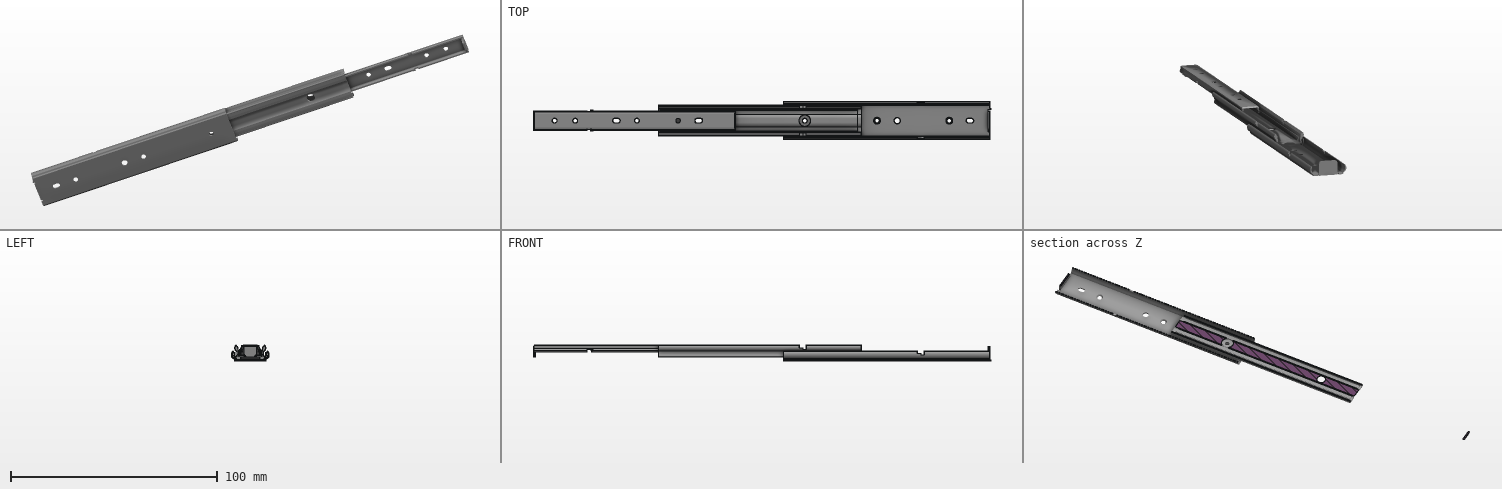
import cadquery as cq

inner_start = 0
inner_end = 97.7
middle_start = 60.4
middle_end = 158.5
outer_start = 120.7
outer_end = 220.7

sheet = 0.7
cage_sheet = 0.33

slide_height = 7.7
middle_bottom = 2.0
middle_floor = middle_bottom + sheet
outer_floor = sheet

inner_top = slide_height
inner_bottom = 4.5
inner_flat = 3.3
inner_waist = 4.2
inner_half_width = 4.6

outer_half_width = 18.4 / 2
outer_wall_middle = 3.0

ridge_height = 1.0
ridge_step = 0.13
ridge_flat = 0.9
ridge_shoulder = 2.0
ridge_shoulder_height = 0.82
ridge_bend = 3.0
ridge_foot = 4.5

inner_cage_start = middle_start + 0.9
inner_cage_end = middle_end - 2.0
inner_cage_top = 5.0
outer_cage_start = outer_start + 0.7
outer_cage_end = middle_end - 0.7
outer_cage_top = 4.2

hole_pitch = 10.0
hole_diameter = 2.2
slot_length = 3.5
first_hole = 10.2
inner_hole_steps = [0, 1, 4, 6]
inner_slot_steps = [3, 7]
clearance_diameter = 4.0
access_x = first_hole + inner_slot_steps[-1] * hole_pitch

pad_x = 131.1
pad_diameter = 5.5

countersink_places = [166.0, 201.0]
countersink_diameter = 3.3
plain_hole_x = 175.8
plain_hole_diameter = 2.9
outer_slot_x = 211.0

notch_length = 3.3
lug_share = 0.55
lug_height = 0.7
middle_notch_x = 128.5
middle_notch_bottom = 5.7
outer_notch_x = 185.5
outer_notch_bottom = 3.0
inner_notch_x = 25.9
inner_notch_length = 2.2
inner_notch_top = 5.7
inner_lug_length = 1.0
inner_lug_reach = 5.0
inner_lug_thickness = 0.5

tab_thickness = 0.9
inner_tab_half_width = 3.0
inner_tab_corner = 1.0
inner_end_bevel = 0.55
outer_tab_half_width = 4.6
outer_tab_top = 7.0
outer_tab_corner = 1.3
relief_width = 0.7
relief_depth = 0.9
ear_reach = 0.5
ear_width = 0.7

margin = 2.2
reach_y = outer_half_width + margin
above = slide_height + margin
beyond_end = outer_end + margin


def section_start(x):
    return cq.Workplane("YZ", origin=(x, 0, 0))


def mirrored_bar(half_outline, length):
    """Extrude a half section, together with its mirror image, along X."""
    return half_outline.mirrorY().extrude(length)


def box(x_range, y_range, z_range):
    lengths = [limits[1] - limits[0] for limits in (x_range, y_range, z_range)]
    corner = (x_range[0], y_range[0], z_range[0])
    return cq.Workplane("XY", origin=corner).box(*lengths, centered=False)


def post(x, diameter, bottom=-margin, top=above):
    """Vertical cylinder on the slide's centre line."""
    return cq.Workplane("XY", origin=(x, 0, bottom)).circle(diameter / 2).extrude(top - bottom)


def slot_post(x):
    outline = cq.Workplane("XY", origin=(x, 0, -margin)).slot2D(slot_length, hole_diameter)
    return outline.extrude(above + margin)


def ridge_out(outline, foot):
    """Follow the ridge from the centre line out to its foot, whose height is given."""
    top = foot + ridge_height
    return (
        outline.moveTo(0, top)
        .lineTo(ridge_flat, top)
        .threePointArc((ridge_shoulder, foot + ridge_shoulder_height), (ridge_bend, foot + ridge_step))
        .lineTo(ridge_foot, foot)
    )


def ridge_back(outline, foot):
    """Follow the ridge from its foot back to the centre line."""
    top = foot + ridge_height
    return (
        outline.lineTo(ridge_foot, foot)
        .lineTo(ridge_bend, foot + ridge_step)
        .threePointArc((ridge_shoulder, foot + ridge_shoulder_height), (ridge_flat, top))
        .lineTo(0, top)
    )


def stop_notch(x, bottom):
    """Edge notch in both side walls whose -X part is shallower, leaving a short lug."""
    lug_end = x + notch_length * lug_share
    shallow = box((x, lug_end), (-reach_y, reach_y), (bottom + lug_height, above))
    deep = box((lug_end, x + notch_length), (-reach_y, reach_y), (bottom, above))
    return shallow.union(deep)


def make_inner_rail():
    outline = (
        section_start(inner_start)
        .moveTo(0, inner_top)
        .lineTo(inner_flat, inner_top)
        .lineTo(inner_waist, inner_top - 0.2)
        .lineTo(inner_waist, 6.2)
        .lineTo(inner_half_width, 5.0)
        .lineTo(inner_half_width - 0.2, inner_bottom)
        .lineTo(inner_half_width - 0.2 - sheet, inner_bottom)
        .lineTo(inner_half_width - sheet, 5.0)
        .lineTo(inner_waist - sheet, 6.2)
        .lineTo(inner_waist - sheet, inner_top - sheet)
        .lineTo(0, inner_top - sheet)
    )
    rail = mirrored_bar(outline, inner_end - inner_start)
    tab = box(
        (inner_start, inner_start + tab_thickness),
        (-inner_tab_half_width, inner_tab_half_width),
        (middle_bottom, inner_top - sheet / 2),
    )
    rail = rail.union(tab.edges("|X and <Z").chamfer(inner_tab_corner))
    rail = rail.faces(">Z").edges("|Y").chamfer(inner_end_bevel)

    notch_end = inner_notch_x + inner_notch_length
    rail = rail.cut(box((inner_notch_x, notch_end), (-reach_y, reach_y), (middle_floor, inner_notch_top)))
    for side in (-1, 1):
        wall = side * (inner_half_width - sheet)
        reach = side * inner_lug_reach
        lug = box(
            (notch_end - inner_lug_length / 2, notch_end + inner_lug_length / 2),
            (min(wall, reach), max(wall, reach)),
            (inner_notch_top - inner_lug_thickness, inner_notch_top),
        )
        rail = rail.union(lug)

    for step in inner_hole_steps:
        rail = rail.cut(post(first_hole + step * hole_pitch, hole_diameter))
    for step in inner_slot_steps:
        rail = rail.cut(slot_post(first_hole + step * hole_pitch))
    return rail


def make_middle_rail():
    outline = (
        ridge_out(section_start(middle_start), middle_bottom)
        .lineTo(6.0, middle_bottom)
        .threePointArc((6.6, 2.2), (6.6, 2.7))
        .threePointArc((6.5, 3.8), (6.6, 4.9))
        .threePointArc((7.5, 6.2), (6.9, slide_height))
        .lineTo(6.0, 6.6)
        .lineTo(5.7, 5.0)
        .threePointArc((5.5, 4.0), (5.7, 3.0))
        .lineTo(5.5, middle_floor)
    )
    rail = mirrored_bar(ridge_back(outline, middle_floor), middle_end - middle_start)
    rail = rail.cut(stop_notch(middle_notch_x, middle_notch_bottom))

    rail = rail.cut(post(pad_x, pad_diameter))
    rail = rail.union(post(pad_x, pad_diameter, middle_bottom, middle_floor))
    rail = rail.cut(post(pad_x, hole_diameter))
    return rail.cut(post(access_x, clearance_diameter))


def make_outer_rail():
    outline = (
        section_start(outer_start)
        .moveTo(0, 0)
        .lineTo(7.5, 0)
        .lineTo(7.7, 1.0)
        .lineTo(8.5, outer_wall_middle - 1.8)
        .threePointArc((outer_half_width, outer_wall_middle), (8.5, outer_wall_middle + 1.8))
        .lineTo(8.2, outer_wall_middle + 1.5)
        .threePointArc((outer_half_width - sheet, outer_wall_middle), (8.0, outer_wall_middle - 1.5))
        .lineTo(7.3, outer_floor)
        .lineTo(0, outer_floor)
    )
    rail = mirrored_bar(outline, outer_end - outer_start)
    rail = rail.cut(stop_notch(outer_notch_x, outer_notch_bottom))
    for x in countersink_places:
        cone = (
            cq.Workplane("XY", origin=(x, 0, outer_floor))
            .circle(countersink_diameter / 2)
            .workplane(offset=-outer_floor)
            .circle(hole_diameter / 2)
            .loft()
        )
        rail = rail.cut(cone)
    rail = rail.cut(post(plain_hole_x, plain_hole_diameter))
    rail = rail.cut(post(pad_x, hole_diameter))
    rail = rail.cut(slot_post(outer_slot_x))
    return add_outer_end(rail)


def add_outer_end(rail):
    """Upright stop tab, relief cuts in the floor beside it and a small ear."""
    tab = box(
        (outer_end - tab_thickness, outer_end),
        (-outer_tab_half_width, outer_tab_half_width),
        (0, outer_tab_top),
    )
    tab = tab.edges("|X and >Z").fillet(outer_tab_corner)
    ear_y = outer_tab_half_width + relief_width
    for side in (-1, 1):
        edges = (side * outer_tab_half_width, side * ear_y)
        relief = box(
            (outer_end - relief_depth, beyond_end),
            (min(edges), max(edges)),
            (-margin, outer_floor),
        )
        rail = rail.cut(relief)
    ear = box((outer_end, outer_end + ear_reach), (ear_y, ear_y + ear_width), (0, outer_floor))
    return rail.union(tab).union(ear)


def make_inner_cage():
    web_top = middle_floor + cage_sheet
    outline = (
        ridge_out(section_start(inner_cage_start), middle_floor)
        .lineTo(5.3, middle_floor)
        .lineTo(5.5, inner_cage_top)
        .lineTo(5.5 - cage_sheet, inner_cage_top)
        .lineTo(5.3 - cage_sheet, web_top)
    )
    cage = mirrored_bar(ridge_back(outline, web_top), inner_cage_end - inner_cage_start)
    return cage.cut(post(pad_x, pad_diameter)).cut(post(access_x, clearance_diameter))


def make_outer_cage():
    outline = (
        section_start(outer_cage_start)
        .moveTo(0, outer_floor)
        .lineTo(6.9, outer_floor)
        .lineTo(7.7, 2.5)
        .lineTo(7.7, outer_cage_top)
        .lineTo(7.3, outer_cage_top)
        .lineTo(7.3, 2.5)
        .lineTo(6.6, outer_floor + cage_sheet)
        .lineTo(0, outer_floor + cage_sheet)
    )
    return mirrored_bar(outline, outer_cage_end - outer_cage_start).cut(post(pad_x, hole_diameter))


inner_rail = make_inner_rail()
middle_rail = make_middle_rail()
outer_rail = make_outer_rail()
inner_cage = make_inner_cage()
outer_cage = make_outer_cage()

result = cq.Compound.makeCompound(
    [
        inner_rail.solids().val(),
        middle_rail.solids().val(),
        outer_rail.solids().val(),
        inner_cage.solids().val(),
        outer_cage.solids().val(),
    ]
)